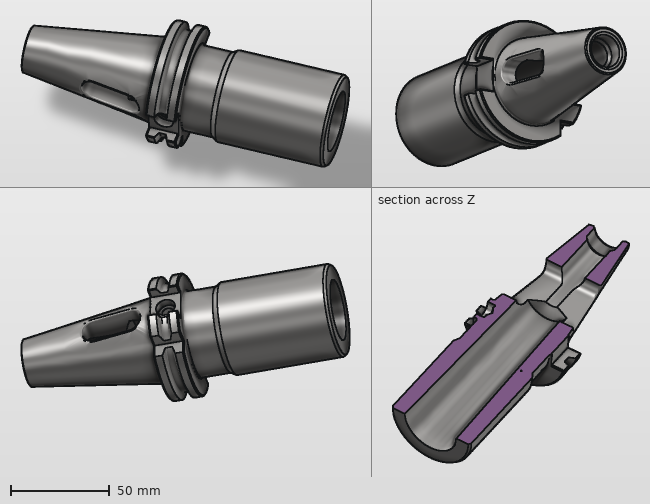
import cadquery as cq
import math

pick_slack = 0.2

total_length = 163.2
flange_start = 71.3
flange_width = 15.8
flange_end = flange_start + flange_width

taper_end_dia = 24.7
neck_dia = 44.5
body_dia = 48.0
flange_dia = 63.3

taper_length = 69.4
taper_chamfer_length = 0.5
taper_chamfer_depth = 0.8
shoulder_start = 103.3
shoulder_end = 106.3
body_chamfer_length = 1.5
body_chamfer_depth = 1.0
flange_chamfer = 0.7
root_fillet = 1.0

groove_center = flange_start + flange_width / 2
groove_floor_width = 3.6
groove_mouth_width = 6.7
groove_floor_fillet = 0.7
groove_floor_dia = 56.0

entry_dia = 17.0
entry_depth = 8.2
entry_chamfer_dia = 19.6
entry_chamfer_length = 0.7
passage_dia = 13.9
relief_dia = 26.5
relief_start = 56.8
relief_end = 71.2
drill_half_angle = 59.0
mouth_dia = 31.2

slot_center = 49.1
slot_length = 32.0
slot_width = 12.0
slot_edge_fillet = 1.0

key_width = 16.2
key_floor_near = 24.7
key_floor_far = 22.7
key_mouth_chamfer = 0.5

notch_y = 18.3
notch_z = 18.6

recess_x = groove_center
recess_dia = 10.0
recess_depth = 4.5
recess_tip_dia = 6.0


def revolve_about_x(points):
    """Revolve an (x, radius) outline about the X axis."""
    return cq.Workplane("XY").polyline(points).close().revolve(360, (0, 0, 0), (1, 0, 0))


def make_shank():
    taper_end, neck, body = taper_end_dia / 2, neck_dia / 2, body_dia / 2
    return revolve_about_x([
        (0, 0),
        (0, taper_end - taper_chamfer_depth),
        (taper_chamfer_length, taper_end),
        (taper_length, neck),
        (shoulder_start, neck),
        (shoulder_end, body),
        (total_length - body_chamfer_length, body),
        (total_length, body - body_chamfer_depth),
        (total_length, 0),
    ])


def make_groove():
    """V-shaped ring with its two floor corners rounded."""
    rim = flange_dia / 2
    floor = groove_floor_dia / 2
    ring = revolve_about_x([
        (groove_center - groove_floor_width / 2, floor),
        (groove_center + groove_floor_width / 2, floor),
        (groove_center + groove_mouth_width / 2, rim),
        (groove_center - groove_mouth_width / 2, rim),
    ])
    floor_corners = [
        edge for edge in ring.edges("%CIRCLE").vals()
        if edge.radius() < floor + pick_slack
    ]
    return ring.newObject(floor_corners).fillet(groove_floor_fillet)


def flange_box(y_min, y_max, z_min, z_max):
    size = (flange_width, y_max - y_min, z_max - z_min)
    return cq.Workplane("XY").box(*size, centered=False).translate((flange_start, y_min, z_min))


def make_keyways():
    rim = flange_dia / 2
    half_key = key_width / 2
    near = flange_box(-rim, -key_floor_near, -half_key, half_key)
    far = flange_box(key_floor_far, rim, -half_key, half_key)
    return near.union(far)


def make_notch():
    rim = flange_dia / 2
    return flange_box(-rim, -notch_y, -rim, -notch_z)


def make_root_fillet(face_x, direction):
    """Ring that blends the neck into a flange face; direction points away from the flange."""
    neck = neck_dia / 2
    blend_end = face_x + direction * root_fillet
    middle = root_fillet * (1 - math.sqrt(0.5))
    return (
        cq.Workplane("XY")
        .moveTo(face_x, 0)
        .lineTo(face_x, neck + root_fillet)
        .threePointArc((face_x + direction * middle, neck + middle), (blend_end, neck))
        .lineTo(blend_end, 0)
        .close()
        .revolve(360, (0, 0, 0), (1, 0, 0))
    )


def make_flange():
    rim = flange_dia / 2
    flange = cq.Workplane("YZ").circle(rim).extrude(flange_width).translate((flange_start, 0, 0))
    flange = flange.cut(make_keyways()).cut(make_notch())
    face_edges = [
        edge for edge in flange.faces("<X or >X").edges().vals()
        if not (edge.geomType() == "LINE" and abs(edge.Center().z) < pick_slack)
    ]
    flange = flange.newObject(face_edges).chamfer(flange_chamfer)
    mouth_edges = [
        edge for edge in flange.edges("|X").vals()
        if abs(abs(edge.Center().z) - key_width / 2) < pick_slack
        and abs(edge.Center().y) > key_floor_near + pick_slack
    ]
    flange = flange.newObject(mouth_edges).chamfer(key_mouth_chamfer)
    return flange.cut(make_groove())


def make_bore():
    entry, passage, relief = entry_dia / 2, passage_dia / 2, relief_dia / 2
    drill_slope = math.tan(math.radians(drill_half_angle))
    return revolve_about_x([
        (0, 0),
        (0, entry_chamfer_dia / 2),
        (entry_chamfer_length, entry),
        (entry_depth, entry),
        (entry_depth + entry - passage, passage),
        (relief_start - (relief - passage) / drill_slope, passage),
        (relief_start, relief),
        (relief_end, relief),
        (total_length, mouth_dia / 2),
        (total_length, 0),
    ])


def cut_slot(shank):
    """Cut the slot along Y and round the edges where it meets the taper."""
    slot = (
        cq.Workplane("XZ")
        .center(slot_center, 0)
        .slot2D(slot_length, slot_width)
        .extrude(neck_dia, both=True)
    )
    half_length = slot_length / 2 + pick_slack
    half_width = slot_width / 2 + pick_slack
    around_slot = cq.selectors.BoxSelector(
        (slot_center - half_length, -neck_dia, -half_width),
        (slot_center + half_length, neck_dia, half_width),
    )
    return shank.cut(slot).edges(around_slot).fillet(slot_edge_fillet)


def make_recess():
    """Flat-bottomed recess with a conical drill point in its floor."""
    tip_length = recess_tip_dia / 2 / math.tan(math.radians(drill_half_angle))
    floor_y = -key_floor_near + recess_depth
    return (
        cq.Workplane("XY")
        .polyline([
            (recess_x, -key_floor_near),
            (recess_x + recess_dia / 2, -key_floor_near),
            (recess_x + recess_dia / 2, floor_y),
            (recess_x + recess_tip_dia / 2, floor_y),
            (recess_x, floor_y + tip_length),
        ])
        .close()
        .revolve(360, (recess_x, 0, 0), (recess_x, 1, 0))
    )


result = cut_slot(make_shank()).union(make_flange())
result = result.union(make_root_fillet(flange_start, -1))
result = result.union(make_root_fillet(flange_end, 1))
result = result.cut(make_bore()).cut(make_recess())